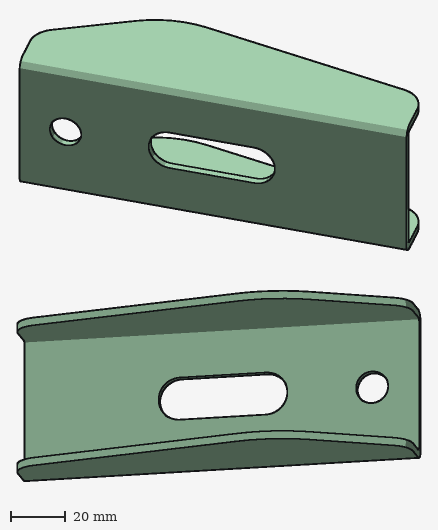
import cadquery as cq
import math

length = 147.5
depth = 40.9
height = 56.0
thickness = 3.0
bend_outer_radius = 4.0
bend_inner_radius = bend_outer_radius - thickness

left_slope = math.radians(27.0)
right_slope = math.radians(11.4)
crest_x = 51.5
crest_radius = 40.0
end_corner_radius = 10.0

hole_x = 17.5
hole_diameter = 12.0
slot_center_x = 73.3
slot_length = 48.1
slot_width = 16.0


def make_channel():
    """Bent U-section, open toward +Y, running along X."""
    inner_height = height - 2 * thickness
    outer = cq.Workplane("XY").box(length, depth, height, centered=False)
    outer = outer.edges("|X and <Y").fillet(bend_outer_radius)
    inner = (
        cq.Workplane("XY")
        .box(length, depth, inner_height, centered=False)
        .translate((0, thickness, thickness))
        .edges("|X and <Y")
        .fillet(bend_inner_radius)
    )
    return outer.cut(inner)


def make_flange_envelope():
    """Full-height prism with the flange outline, used to trim both flanges."""
    apex_distance = crest_radius / math.cos((left_slope + right_slope) / 2)
    apex_tilt = (left_slope - right_slope) / 2
    apex_x = crest_x - apex_distance * math.sin(apex_tilt)
    apex_y = depth - crest_radius + apex_distance * math.cos(apex_tilt)
    left_end_y = apex_y - apex_x * math.tan(left_slope)
    right_end_y = apex_y - (length - apex_x) * math.tan(right_slope)

    outline = [(0, 0), (length, 0), (length, right_end_y), (apex_x, apex_y), (0, left_end_y)]
    envelope = cq.Workplane("XY").polyline(outline).close().extrude(height)
    envelope = envelope.edges("|Z and >Y").fillet(crest_radius)
    for x, y in [(0, left_end_y), (length, right_end_y)]:
        corner = cq.selectors.NearestToPointSelector((x, y, height / 2))
        envelope = envelope.edges("|Z").edges(corner).fillet(end_corner_radius)
    return envelope


def make_web_openings():
    """Cutters for the round hole and the slot, passing through the web only."""
    web_plane = cq.Workplane("XZ", origin=(0, 0, height / 2))
    cut_depth = -2 * thickness
    hole = web_plane.center(hole_x, 0).circle(hole_diameter / 2).extrude(cut_depth)
    slot = web_plane.center(slot_center_x, 0).slot2D(slot_length, slot_width).extrude(cut_depth)
    return hole.union(slot)


result = make_channel().intersect(make_flange_envelope()).cut(make_web_openings())